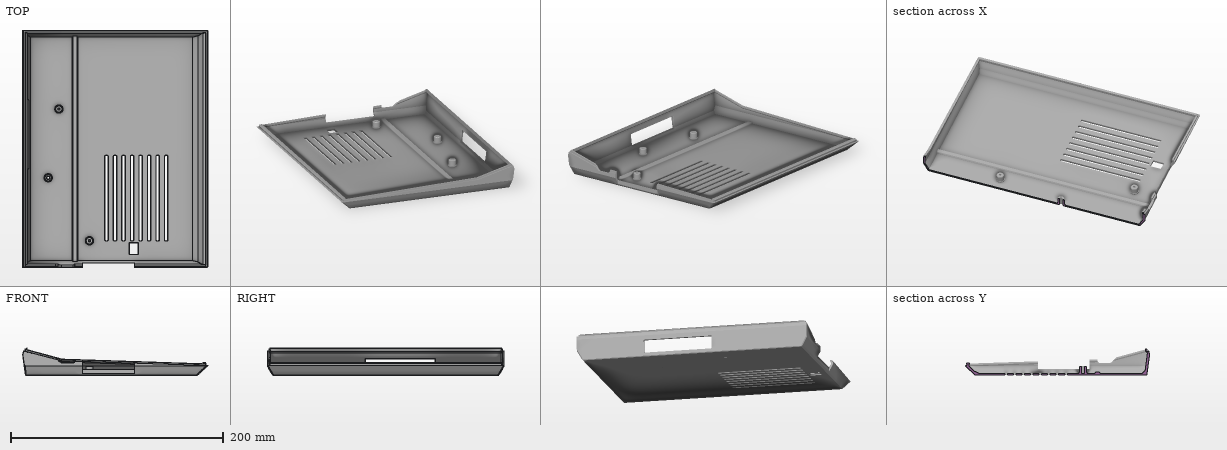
import cadquery as cq

LENGTH = 174.4
WIDTH = 223.0
HEIGHT = 25.6

FLOOR = 2.0
TIP_HEIGHT = 9.4
TIP_RUN = 10.0
LEFT_FOOT = 2.7
LEFT_SEAM_HEIGHT = 19.8
RIM_LEFT = (1.0, 23.2)
RIM_BREAK = (36.8, 13.8)
SKIRT_HEIGHT = 9.0
SKIRT_INSET = 4.2
BEVEL_HEIGHT = 1.5
BEVEL = 1.3
CORNER_CHAMFER = 1.0
LEFT_BEVEL = 0.7

SIDE_WALL = 2.2
FLOOR_INSET = 6.2
LEFT_WALL = 2.7
LEFT_RAMP = 2.7
CAVITY_LEFT_FLOOR = 7.4
CAVITY_RIGHT = 170.1
RIGHT_SLOPE = 5.0
RIGHT_RAMP = 5.1
RIGHT_RAMP_RISE = 2.2

LIP_RISE = 1.5
LIP_INSET = 1.3
LIP_OVERHANG = 0.7
LIP_UNDERCUT = 1.1
END_LIP_INSET = 2.5
LIP_RIGHT = 172.2
LEFT_LIP = [(2.2, 22.3), (2.5, 24.8), (4.2, HEIGHT), (4.2, 22.7), (2.7, 21.2)]
RIGHT_LIP = [(169.7, 10.5), (169.7, 12.0), (172.2, 12.0), (172.8, 11.2), (172.2, 8.5), (170.1, 8.5), (170.1, 10.5)]

NOTCH_LEFT, NOTCH_RIGHT, NOTCH_FLOOR = 35.5, 48.8, 11.5
NOTCH_SLANT = 1.3
PORT_LEFT, PORT_RIGHT = 56.5, 105.3
PORT_DEPTH = 4.0
SLOT_FRONT, SLOT_BACK = 92.3, 157.9
SLOT_BOTTOM, SLOT_TOP = 3.5, 15.5
SLOT_CORNER = 1.0

VENT_COUNT = 8
VENT_PITCH = 8.0
VENT_FIRST_X = 79.0
VENT_WIDTH = 3.0
VENT_CORNER = 0.7
VENT_FRONT, VENT_BACK = 25.0, 105.3
WINDOW_CENTER = (104.5, 17.6)
WINDOW_SIZE = (8.3, 10.7)
RIB_CENTER_X = 49.3
RIB_BASE, RIB_TOP, RIB_HEIGHT = 5.4, 3.5, 1.5
RIB_END_INSET = 5.4

BOSS_DIAMETER = 7.0
BOSS_TOP_DIAMETER = 6.0
BOSS_FOOT_DIAMETER = 7.8
BOSS_FOOT_HEIGHT = 1.1
BOSS_TOP = 8.7
PILOT_DIAMETER = 2.15
SCREW_DIAMETER = 3.0
PILOT_BOSSES = [(34.1, 149.0), (62.9, 25.0)]
SCREW_BOSS = (24.0, 84.3)


def along_y(points, front, back):
    """Extrude an X-Z outline from y = front to y = back."""
    outline = cq.Workplane("XZ", origin=(0, front, 0)).polyline(points).close()
    return outline.extrude(front - back)


def along_x(points):
    """Extrude a Y-Z outline over the whole length."""
    return cq.Workplane("YZ").polyline(points).close().extrude(LENGTH)


def mirrored(half):
    """Complete a Y-Z outline from its front half, listed from bottom to top."""
    return half + [(WIDTH - y, z) for y, z in reversed(half)]


def block(low, high):
    """Box between two opposite corners."""
    sizes = [end - start for start, end in zip(low, high)]
    return cq.Workplane("XY").box(*sizes, centered=False).translate(low)


def shell_body():
    """Solid outer shape without the lip."""
    left_lean = LEFT_FOOT / LEFT_SEAM_HEIGHT
    side = along_y(
        [
            (LEFT_FOOT - LEFT_BEVEL * left_lean, LEFT_BEVEL),
            (LEFT_FOOT + LEFT_BEVEL, 0),
            (LENGTH - TIP_RUN, 0),
            (LENGTH, TIP_HEIGHT),
            RIM_BREAK,
            RIM_LEFT,
            (0, LEFT_SEAM_HEIGHT),
        ],
        0,
        WIDTH,
    )
    half = [
        (SKIRT_INSET + BEVEL, 0),
        (SKIRT_INSET, BEVEL_HEIGHT),
        (0, SKIRT_HEIGHT),
        (0, HEIGHT),
    ]
    body = side.intersect(along_x(mirrored(half)))
    slanted = body.edges("not(|X or |Y)")
    skirt_corners = slanted.filter(lambda edge: BEVEL_HEIGHT < edge.Center().z < SKIRT_HEIGHT)
    return skirt_corners.chamfer(CORNER_CHAMFER)


def cavity():
    """Hollow of the tray, open at the top."""
    slope_bottom_x = CAVITY_RIGHT - RIGHT_SLOPE
    slope_bottom_z = FLOOR + RIGHT_RAMP_RISE
    side = along_y(
        [
            (CAVITY_LEFT_FLOOR, FLOOR),
            (slope_bottom_x - RIGHT_RAMP, FLOOR),
            (slope_bottom_x, slope_bottom_z),
            (CAVITY_RIGHT, slope_bottom_z + RIGHT_SLOPE),
            (CAVITY_RIGHT, HEIGHT),
            (LEFT_WALL, HEIGHT),
            (LEFT_WALL, LEFT_SEAM_HEIGHT),
            (CAVITY_LEFT_FLOOR - LEFT_RAMP, FLOOR + LEFT_RAMP),
        ],
        0,
        WIDTH,
    )
    half = [(FLOOR_INSET, FLOOR), (SIDE_WALL, SKIRT_HEIGHT), (SIDE_WALL, HEIGHT)]
    return side.intersect(along_x(mirrored(half)))


def rim_band(bottom, top):
    """X-Z outline along the rim between two heights measured from the rim line."""
    break_x, break_z = RIM_BREAK
    left_x, left_z = LEFT_LIP[0][0], RIM_LEFT[1]
    return [
        (left_x, left_z + bottom),
        (left_x, left_z + top),
        (break_x, break_z + top),
        (LIP_RIGHT, TIP_HEIGHT + top),
        (LIP_RIGHT, TIP_HEIGHT + bottom),
        (break_x, break_z + bottom),
    ]


def side_lip():
    """Lip on the front wall; its overhang has a slanted underside."""
    band = rim_band(-LIP_UNDERCUT, LIP_RISE)
    strip = along_y(band, LIP_INSET, SIDE_WALL)
    overhang = (
        cq.Workplane("XZ", origin=(0, SIDE_WALL, 0))
        .polyline(band)
        .close()
        .workplane(offset=-LIP_OVERHANG)
        .polyline(rim_band(0, LIP_RISE))
        .close()
        .loft(ruled=True)
    )
    return strip.union(overhang)


def lip():
    """Raised strips on all four sides of the rim."""
    front = side_lip()
    back = front.mirror("XZ").translate((0, WIDTH, 0))
    left = along_y(LEFT_LIP, END_LIP_INSET, WIDTH - END_LIP_INSET)
    right = along_y(RIGHT_LIP, END_LIP_INSET, WIDTH - END_LIP_INSET)
    return front.union(back).union(left).union(right)


def notch():
    """Low gap in the front rim at the foot of the steep slope."""
    rise = HEIGHT - NOTCH_FLOOR
    points = [
        (NOTCH_LEFT + NOTCH_SLANT, NOTCH_FLOOR),
        (NOTCH_RIGHT - NOTCH_SLANT, NOTCH_FLOOR),
        (NOTCH_RIGHT, NOTCH_FLOOR + NOTCH_SLANT),
        (NOTCH_RIGHT, HEIGHT),
        (NOTCH_LEFT - rise, HEIGHT),
    ]
    return along_y(points, 0, SIDE_WALL + LIP_OVERHANG)


def port():
    """Opening in the front wall, open at the top."""
    return block((PORT_LEFT, 0, FLOOR), (PORT_RIGHT, PORT_DEPTH, HEIGHT))


def slot():
    """Card slot through the left wall."""
    cutter = block((0, SLOT_FRONT, SLOT_BOTTOM), (CAVITY_LEFT_FLOOR, SLOT_BACK, SLOT_TOP))
    return cutter.edges("|X and <Z").fillet(SLOT_CORNER)


def floor_openings():
    """Ventilation slits and the rectangular window beside them."""
    window = cq.Workplane("XY").center(*WINDOW_CENTER).rect(*WINDOW_SIZE).extrude(FLOOR)
    length = VENT_BACK - VENT_FRONT
    middle_y = (VENT_FRONT + VENT_BACK) / 2
    centers = [(VENT_FIRST_X + i * VENT_PITCH, middle_y) for i in range(VENT_COUNT)]
    vents = cq.Workplane("XY").pushPoints(centers).rect(VENT_WIDTH, length).extrude(FLOOR)
    return window.union(vents.edges("|Z").fillet(VENT_CORNER))


def rib():
    """Low trapezoidal rib across the floor."""
    points = [
        (RIB_CENTER_X - RIB_BASE / 2, FLOOR),
        (RIB_CENTER_X + RIB_BASE / 2, FLOOR),
        (RIB_CENTER_X + RIB_TOP / 2, FLOOR + RIB_HEIGHT),
        (RIB_CENTER_X - RIB_TOP / 2, FLOOR + RIB_HEIGHT),
    ]
    return along_y(points, RIB_END_INSET, WIDTH - RIB_END_INSET)


def bosses():
    """Stepped screw bosses standing on the floor."""
    base = cq.Workplane("XY", origin=(0, 0, FLOOR)).pushPoints(PILOT_BOSSES + [SCREW_BOSS])
    foot = base.circle(BOSS_FOOT_DIAMETER / 2).extrude(BOSS_FOOT_HEIGHT)
    post = base.circle(BOSS_DIAMETER / 2).extrude(BOSS_TOP - FLOOR)
    chamfer = (BOSS_DIAMETER - BOSS_TOP_DIAMETER) / 2
    return foot.union(post.faces(">Z").chamfer(chamfer))


def boss_holes():
    """Blind pilot holes down to the floor and one screw hole through it."""
    pilots = (
        cq.Workplane("XY", origin=(0, 0, FLOOR))
        .pushPoints(PILOT_BOSSES)
        .circle(PILOT_DIAMETER / 2)
        .extrude(BOSS_TOP - FLOOR)
    )
    screw = cq.Workplane("XY").center(*SCREW_BOSS).circle(SCREW_DIAMETER / 2).extrude(BOSS_TOP)
    return pilots.union(screw)


tray = shell_body().cut(cavity()).union(lip())
tray = tray.cut(notch()).cut(port()).cut(slot()).cut(floor_openings())
result = tray.union(rib()).union(bosses()).cut(boss_holes())